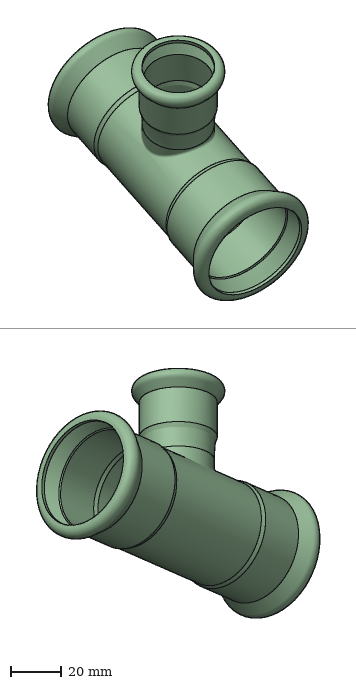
import cadquery as cq
import math

length = 114.0
run_bore_radius = 41.0 / 2
run_outer_radius = 44.0 / 2
run_socket_radius = 45.4 / 2
run_socket_bore_radius = 42.3 / 2
run_mouth_radius = 44.0 / 2
run_seat_radius = 43.3 / 2
run_rim_radius = 53.4 / 2
run_bead_radius = 3.3
run_cone_angle = 33.0
run_inner_cone_angle = 30.0
run_step_start = 30.0
run_step_end = 31.8

branch_top = 56.7
branch_bore_radius = 26.0 / 2
stub_radius = 29.0 / 2
neck_radius = 29.8 / 2
branch_socket_radius = 31.2 / 2
branch_socket_bore_radius = 28.2 / 2
branch_mouth_radius = 29.0 / 2
branch_seat_radius = 28.8 / 2
branch_rim_radius = 37.3 / 2
branch_bead_radius = 3.0
branch_cone_angle = 38.0
branch_inner_cone_angle = 34.0
branch_step_start = 22.9
branch_step_end = 25.0
neck_end = 31.4
stub_top = 23.6
saddle_fillet = 0.9

seat_depth = 0.5

neck_wall = stub_radius - branch_bore_radius


def trace_bead(profile, rim_radius, bead_radius, cone_angle, end_radius, wall):
    """Draw a bead and its tangent cone from the flat end face to the end radius.

    Points are (radius, depth below the mouth); wall insets the curve to give the inside.
    """
    angle = math.radians(cone_angle)
    center_radius = rim_radius - bead_radius
    arc_radius = bead_radius - wall
    middle = (angle - math.pi / 2) / 2

    def on_arc(turn):
        return (center_radius + arc_radius * math.cos(turn), bead_radius + arc_radius * math.sin(turn))

    tangent_point = on_arc(angle)
    cone_length = (tangent_point[0] - end_radius) / math.tan(angle)
    cone_end = (end_radius, tangent_point[1] + cone_length)
    return (
        profile.lineTo(center_radius, bead_radius - arc_radius)
        .threePointArc(on_arc(middle), tangent_point)
        .lineTo(*cone_end)
    )


def trace_cavity(mouth_radius, rim_radius, bead_radius, cone_angle, seat_radius, bore_radius, wall):
    """Draw the inside of a socket from its mouth, through the bead, to the start of its bore."""
    lip = cq.Workplane("XZ").moveTo(0, 0).lineTo(mouth_radius, 0).lineTo(mouth_radius, wall)
    bead = trace_bead(lip, rim_radius, bead_radius, cone_angle, seat_radius, wall)
    return bead.line(bore_radius - seat_radius, seat_depth)


def revolve_profile(profile):
    """Spin a (radius, depth) outline about the depth axis, with the mouth at the origin."""
    return profile.close().revolve(360, (0, 0, 0), (0, 1, 0))


def run_half_solid(outside):
    """Outside or cavity of half the run, from its mouth to the middle."""
    if outside:
        profile = trace_bead(
            cq.Workplane("XZ").moveTo(0, 0),
            run_rim_radius, run_bead_radius, run_cone_angle, run_socket_radius, 0,
        )
        socket_radius = run_socket_radius
        pipe_radius = run_outer_radius
    else:
        wall = run_socket_radius - run_socket_bore_radius
        profile = trace_cavity(
            run_mouth_radius, run_rim_radius, run_bead_radius, run_inner_cone_angle,
            run_seat_radius, run_socket_bore_radius, wall,
        )
        socket_radius = run_socket_bore_radius
        pipe_radius = run_bore_radius
    profile = (
        profile.lineTo(socket_radius, run_step_start)
        .lineTo(pipe_radius, run_step_end)
        .lineTo(pipe_radius, length / 2)
        .lineTo(0, length / 2)
    )
    half = revolve_profile(profile)
    return half.rotate((0, 0, 0), (0, 1, 0), 90).translate((-length / 2, 0, 0))


def run_solid(outside):
    """Outside or cavity of the whole run."""
    half = run_half_solid(outside)
    return half.union(half.mirror("YZ"))


def make_tee():
    """Run pipe with a press socket at each end and a filleted stub for the branch."""
    stub = cq.Workplane("XY").circle(stub_radius).extrude(stub_top)
    plain_length = length - 2 * run_step_end
    pipe = cq.Workplane("YZ").circle(run_outer_radius).extrude(plain_length / 2, both=True)
    side_height = math.sqrt(run_outer_radius**2 - stub_radius**2)
    saddle_margin = 1.1
    saddle_box = cq.selectors.BoxSelector(
        (-stub_radius - saddle_margin, -stub_radius - saddle_margin, side_height - saddle_margin),
        (stub_radius + saddle_margin, stub_radius + saddle_margin, stub_top - neck_wall / 2),
    )
    body = pipe.union(stub).edges(saddle_box).fillet(saddle_fillet)
    body = body.union(run_solid(outside=True))
    branch_bore = cq.Workplane("XY").circle(branch_bore_radius).extrude(stub_top)
    return body.cut(run_solid(outside=False)).cut(branch_bore)


def make_branch_socket():
    """Press socket that stands on the stub of the tee."""
    depth = branch_top - stub_top
    wall = branch_socket_radius - branch_socket_bore_radius
    outside = trace_bead(
        cq.Workplane("XZ").moveTo(0, 0),
        branch_rim_radius, branch_bead_radius, branch_cone_angle, branch_socket_radius, 0,
    )
    outside = (
        outside.lineTo(branch_socket_radius, branch_step_start)
        .lineTo(neck_radius, branch_step_end)
        .lineTo(stub_radius, neck_end)
        .lineTo(stub_radius, depth)
        .lineTo(0, depth)
    )
    cavity = trace_cavity(
        branch_mouth_radius, branch_rim_radius, branch_bead_radius, branch_inner_cone_angle,
        branch_seat_radius, branch_socket_bore_radius, wall,
    )
    cavity = (
        cavity.lineTo(branch_socket_bore_radius, branch_step_start)
        .lineTo(neck_radius - neck_wall, branch_step_end)
        .lineTo(branch_bore_radius, neck_end)
        .lineTo(branch_bore_radius, depth)
        .lineTo(0, depth)
    )
    socket = revolve_profile(outside).cut(revolve_profile(cavity))
    return socket.rotate((0, 0, 0), (1, 0, 0), 180).translate((0, 0, branch_top))


tee = make_tee()
branch_socket = make_branch_socket()
result = cq.Compound.makeCompound([tee.solids().val(), branch_socket.solids().val()])